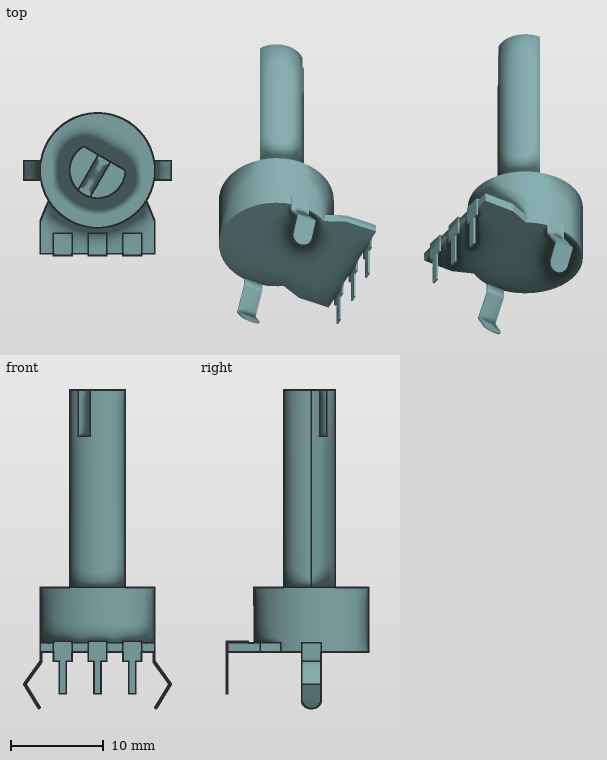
import cadquery as cq
import math


body_radius = 6.2
body_height = 7.0

shaft_radius = 3.0
shaft_length = 21.3
flat_distance = 1.5
flat_angle = 60.0
slot_width = 1.5
slot_depth = 5.0
shaft_top = body_height + shaft_length

board_thickness = 1.0
board_front_y = -9.0
board_shoulder_y = -5.5
board_back_y = -3.3
board_back_half_width = 5.3

metal_thickness = 0.2
terminal_pitch = 3.75
terminal_width = 2.0
terminal_reach = 2.2
terminal_shoulder_z = -1.0
pin_width = 0.8
pin_end_z = -4.5
terminal_face_y = board_front_y - metal_thickness

clip_width = 2.1
clip_bend_z = -1.0
clip_elbow_x = 7.97
clip_elbow_z = -3.45
clip_tip_x = 6.35
clip_tip_z = -6.1


def box_between(x_min, x_max, y_min, y_max, z_min, z_max):
    size = (x_max - x_min, y_max - y_min, z_max - z_min)
    return cq.Workplane("XY").box(*size, centered=False).translate((x_min, y_min, z_min))


def make_body():
    return cq.Workplane("XY").circle(body_radius).extrude(body_height)


def make_shaft():
    """D-shaped shaft with a driver slot square to the flat."""
    shaft_diameter = 2 * shaft_radius
    shaft = cq.Workplane("XY").workplane(offset=body_height).circle(shaft_radius).extrude(shaft_length)
    beyond_flat = box_between(
        flat_distance, shaft_diameter, -shaft_radius, shaft_radius, body_height, shaft_top
    )
    slot = box_between(
        -shaft_radius, shaft_radius, -slot_width / 2, slot_width / 2, shaft_top - slot_depth, shaft_top
    )
    return shaft.cut(beyond_flat).cut(slot).rotate((0, 0, 0), (0, 0, 1), flat_angle)


def make_board():
    """Flat board under the terminals, tapering where it meets the body."""
    outline = [
        (-body_radius, board_front_y),
        (body_radius, board_front_y),
        (body_radius, board_shoulder_y),
        (board_back_half_width, board_back_y),
        (-board_back_half_width, board_back_y),
        (-body_radius, board_shoulder_y),
    ]
    return cq.Workplane("XY").polyline(outline).close().extrude(board_thickness)


def make_terminal(center_x):
    """Strip lying on the board, bent down over its front edge and narrowed to a pin."""
    half_width = terminal_width / 2
    half_pin = pin_width / 2
    top_z = board_thickness + metal_thickness
    pad = box_between(
        -half_width, half_width,
        terminal_face_y, terminal_face_y + terminal_reach + metal_thickness,
        board_thickness, top_z,
    )
    tab = box_between(
        -half_width, half_width, terminal_face_y, board_front_y, terminal_shoulder_z, top_z
    )
    pin = box_between(
        -half_pin, half_pin, terminal_face_y, board_front_y, pin_end_z, terminal_shoulder_z
    )
    return pad.union(tab).union(pin).translate((center_x, 0, 0))


def inner_normal(start, end):
    """Unit normal in the XZ plane, to the right of the direction from start to end."""
    run_x = end[0] - start[0]
    run_z = end[1] - start[1]
    length = math.hypot(run_x, run_z)
    return (run_z / length, -run_x / length)


def mitre_offset(corner, normal_before, normal_after):
    """Corner of the inner face, one metal thickness in from a corner of the outer face."""
    cosine = normal_before[0] * normal_after[0] + normal_before[1] * normal_after[1]
    reach = metal_thickness / (1 + cosine)
    return (
        corner[0] + reach * (normal_before[0] + normal_after[0]),
        corner[1] + reach * (normal_before[1] + normal_after[1]),
    )


def make_clip():
    """Bent strip on the +X side of the body, with a rounded free end."""
    half_width = clip_width / 2
    top = (body_radius, board_thickness)
    bend = (body_radius, clip_bend_z)
    elbow = (clip_elbow_x, clip_elbow_z)
    tip = (clip_tip_x, clip_tip_z)

    upper_normal = inner_normal(top, bend)
    middle_normal = inner_normal(bend, elbow)
    lower_normal = inner_normal(elbow, tip)

    lower_length = math.hypot(tip[0] - elbow[0], tip[1] - elbow[1])
    straight_share = 1 - half_width / lower_length
    round_center = (
        elbow[0] + straight_share * (tip[0] - elbow[0]),
        elbow[1] + straight_share * (tip[1] - elbow[1]),
    )

    profile = [
        top,
        bend,
        elbow,
        round_center,
        mitre_offset(round_center, lower_normal, lower_normal),
        mitre_offset(elbow, middle_normal, lower_normal),
        mitre_offset(bend, upper_normal, middle_normal),
        mitre_offset(top, upper_normal, upper_normal),
    ]
    strip = cq.Workplane("XZ").polyline(profile).close().extrude(half_width, both=True)

    round_end = cq.Workplane(
        cq.Solid.makeCylinder(
            half_width,
            metal_thickness,
            cq.Vector(round_center[0], 0, round_center[1]),
            cq.Vector(lower_normal[0], 0, lower_normal[1]),
        )
    )
    return strip.union(round_end)


result = make_body().union(make_shaft()).union(make_board())

for position in (-1, 0, 1):
    result = result.union(make_terminal(position * terminal_pitch))

clip = make_clip()
result = result.union(clip).union(clip.mirror("YZ"))